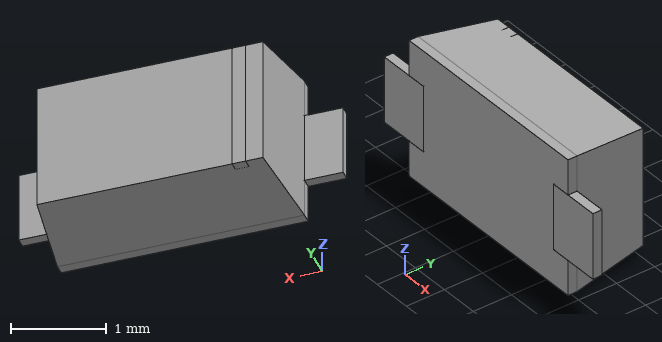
import cadquery as cq
import math

overall_length = 3.6
overall_depth = 1.08
housing_height = 1.73
housing_length = 2.745

lead_length = 0.675
lead_height = 0.835
lead_thickness = 0.12

draft_angle = 7.0
rim_depth = lead_thickness
taper_depth = overall_depth - rim_depth

band_center_x = -0.985
band_width = 0.15
band_depth = 0.1

back_inset = taper_depth * math.tan(math.radians(draft_angle))
back_height = housing_height - 2 * back_inset

band_height = back_height


def make_block(length, depth, height, center_x, front_y):
    """Box centred on Z = 0 with its front face at front_y."""
    return cq.Workplane("XY").box(length, depth, height).translate((center_x, front_y + depth / 2, 0))


def make_housing_envelope():
    """Straight rim with a tapered block behind it, before any recess is cut."""
    rim = make_block(housing_length, rim_depth, housing_height, 0, 0)
    tapered_block = (
        cq.Workplane("XZ", origin=(0, rim_depth, 0))
        .rect(housing_length, housing_height)
        .extrude(-taper_depth, taper=draft_angle)
    )
    return rim.union(tapered_block)


def make_lead(side):
    """Flat lead whose outer end reaches the overall length on the given side."""
    center_x = side * (overall_length - lead_length) / 2
    return make_block(lead_length, lead_thickness, lead_height, center_x, 0)


def make_band():
    """Straight strip across the back face, let in to its full depth."""
    return make_block(band_width, band_depth, band_height, band_center_x, overall_depth - band_depth)


envelope = make_housing_envelope()
leads = [make_lead(side) for side in (-1, 1)]
band = make_band()

housing = envelope.cut(band)
for lead in leads:
    housing = housing.cut(lead)

result = cq.Compound.makeCompound([housing.val(), band.val(), *[lead.val() for lead in leads]])